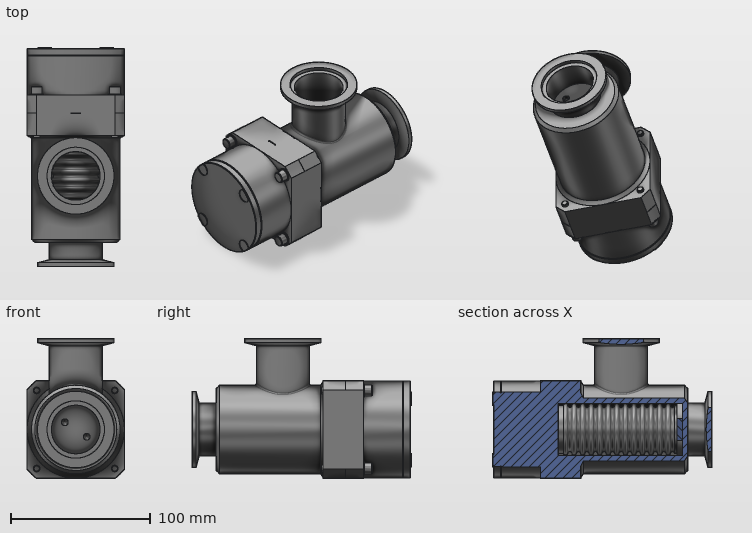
import cadquery as cq
import math


TOTAL_LENGTH = 157.1
PORT_REACH = 65.0

TUBE_DIA = 38.2
BORE_DIA = 34.9
FLANGE_DIA = 54.8
FLANGE_RIM = 2.8
FLANGE_CONE_ANGLE = 15.0
RECESS_DIA = 41.2
RECESS_DEPTH = 2.5

BARREL_DIA = 63.5
BARREL_WALL = 3.0
SEAT_WALL = 4.0
BARREL_FRONT = 17.3
BARREL_CHAMFER = 2.4
COLLAR_DIA = 69.7
COLLAR_HEIGHT = 1.9
WELD_FILLET = 1.3
SELECT_MARGIN = 1.5

PLATE_SIDE = 70.0
PLATE_CORNER = 6.8
PLATE_FRONT = 94.0
JOINT = 110.0
PLATE_REAR = 122.8
PRY_SLOT_WIDTH = 6.6
PRY_SLOT_HEIGHT = 0.6
PRY_SLOT_DEPTH = 2.0

SCREW_OFFSET = 28.0
SCREW_DIA = 4.7
SCREW_TIP = 1.9
SCREW_TIP_CHAMFER = 0.5
HEAD_DIA = 7.9
HEAD_HEIGHT = 5.5
HEAD_CHAMFER = 0.5
WASHER_DIA = 9.6
WASHER_HEIGHT = 0.8

CYLINDER_DIA = 69.7
CAP_HEIGHT = 4.9
CAP_CHAMFER = 0.5
CAP_GROOVE_WIDTH = 0.8
CAP_GROOVE_DEPTH = 0.3
PAD_DIA = 9.6
PAD_OFFSET = 22.1
PAD_HEIGHT = 0.6

DISC_DIA = 47.1
DISC_HEIGHT = 4.0
SPANNER_HOLE_DIA = 4.9
SPANNER_HOLE_DEPTH = 3.0
SPANNER_HOLE_X = 7.9
SPANNER_HOLE_Z = 5.2
DRILL_TIP_ANGLE = 118.0
BELLOWS_ROOT_DIA = 31.7
BELLOWS_CREST_DIA = 37.4
BELLOWS_PITCH = 6.1
BELLOWS_WAVES = 13
BELLOWS_FRONT = 26.7

NECK_DIA = (BELLOWS_ROOT_DIA + BELLOWS_CREST_DIA) / 2
FLANGE_HEIGHT = FLANGE_RIM + (FLANGE_DIA - TUBE_DIA) / 2 * math.tan(math.radians(FLANGE_CONE_ANGLE))
BARREL_END = PLATE_FRONT - COLLAR_HEIGHT
SEAT = BARREL_FRONT + SEAT_WALL
CAP_REAR = TOTAL_LENGTH - PAD_HEIGHT
CAP_FRONT = CAP_REAR - CAP_HEIGHT
SCREW_PLACES = [(sx * SCREW_OFFSET, sz * SCREW_OFFSET) for sx in (-1, 1) for sz in (-1, 1)]
PAD_PLACES = [(sx * PAD_OFFSET, sz * PAD_OFFSET) for sx in (-1, 1) for sz in (-1, 1)]
SPANNER_PLACES = [(-SPANNER_HOLE_X, SPANNER_HOLE_Z), (SPANNER_HOLE_X, -SPANNER_HOLE_Z)]


def revolved(points):
    """Solid turned about the Y axis from a closed (radius, y) outline."""
    return cq.Workplane("XY").polyline(points).close().revolve(360, (0, 0), (0, 1))


def rod(diameter, start, end, x=0.0, z=0.0):
    """Cylinder parallel to Y, from y = start to y = end."""
    base = cq.Workplane(cq.Plane((x, start, z), xDir=(1, 0, 0), normal=(0, 1, 0)))
    return base.circle(diameter / 2).extrude(end - start)


def front_plate():
    """Square plate with flat cut corners."""
    height = JOINT - PLATE_FRONT
    slab = cq.Workplane("XY").box(PLATE_SIDE, height, PLATE_SIDE).edges("|Y").chamfer(PLATE_CORNER)
    return slab.translate((0, PLATE_FRONT + height / 2, 0))


def rear_plate():
    """Square plate whose corners are rounded about the main axis, through the ends of the flat cuts."""
    height = PLATE_REAR - JOINT
    slab = cq.Workplane("XY").box(PLATE_SIDE, height, PLATE_SIDE).translate((0, JOINT + height / 2, 0))
    corner_radius = math.hypot(PLATE_SIDE / 2, PLATE_SIDE / 2 - PLATE_CORNER)
    return slab.intersect(rod(2 * corner_radius, JOINT, PLATE_REAR))


def port(length):
    """Solid port with its flange face at y = 0 and its tube running to y = length."""
    return revolved([
        (0, 0),
        (FLANGE_DIA / 2, 0),
        (FLANGE_DIA / 2, FLANGE_RIM),
        (TUBE_DIA / 2, FLANGE_HEIGHT),
        (TUBE_DIA / 2, length),
        (0, length),
    ])


def port_bore(length):
    """Bore and centring recess of a port."""
    return rod(BORE_DIA, 0, length).union(rod(RECESS_DIA, 0, RECESS_DEPTH))


def to_side_port(shape):
    """Move a port from the inlet to the side outlet, which faces +Z."""
    return shape.rotate((0, 0, 0), (1, 0, 0), -90).translate((0, PORT_REACH, PORT_REACH))


def make_barrel():
    barrel = revolved([
        (0, BARREL_FRONT),
        (BARREL_DIA / 2 - BARREL_CHAMFER, BARREL_FRONT),
        (BARREL_DIA / 2, BARREL_FRONT + BARREL_CHAMFER),
        (BARREL_DIA / 2, BARREL_END),
        (COLLAR_DIA / 2, PLATE_FRONT),
        (0, PLATE_FRONT),
    ])
    barrel = barrel.union(to_side_port(port(PORT_REACH)))
    half_box = TUBE_DIA / 2 + SELECT_MARGIN
    weld_box = cq.selectors.BoxSelector(
        (-half_box, PORT_REACH - half_box, 0),
        (half_box, PORT_REACH + half_box, BARREL_DIA / 2 + SELECT_MARGIN),
        boundingbox=True,
    )
    return barrel.edges(weld_box).fillet(WELD_FILLET)


def make_bellows():
    """Bellows whose crests and roots are equal arcs, joined halfway up each flank."""
    root = BELLOWS_ROOT_DIA / 2
    crest = BELLOWS_CREST_DIA / 2
    middle = (root + crest) / 2
    half_arc = BELLOWS_PITCH / 4
    outline = cq.Workplane("XY").moveTo(0, BELLOWS_FRONT).lineTo(middle, BELLOWS_FRONT)
    for wave in range(BELLOWS_WAVES):
        start = BELLOWS_FRONT + wave * BELLOWS_PITCH
        outline = outline.threePointArc((root, start + half_arc), (middle, start + 2 * half_arc))
        outline = outline.threePointArc((crest, start + 3 * half_arc), (middle, start + 4 * half_arc))
    outline = outline.lineTo(middle, JOINT).lineTo(0, JOINT).close()
    return outline.revolve(360, (0, 0), (0, 1))


def spanner_hole(x, z):
    """Blind drilled hole in the front of the valve disc."""
    radius = SPANNER_HOLE_DIA / 2
    tip = radius / math.tan(math.radians(DRILL_TIP_ANGLE / 2))
    hole = revolved([(0, 0), (radius, 0), (radius, SPANNER_HOLE_DEPTH), (0, SPANNER_HOLE_DEPTH + tip)])
    return hole.translate((x, SEAT, z))


def make_valve_disc():
    disc = rod(DISC_DIA, SEAT, SEAT + DISC_HEIGHT)
    disc = disc.union(rod(NECK_DIA, SEAT + DISC_HEIGHT, BELLOWS_FRONT))
    for x, z in SPANNER_PLACES:
        disc = disc.cut(spanner_hole(x, z))
    return disc


def make_screw(x, z):
    """Screw with its washer, standing out of both plates."""
    shank = rod(SCREW_DIA, PLATE_FRONT - SCREW_TIP, PLATE_REAR, x, z)
    shank = shank.faces("<Y").chamfer(SCREW_TIP_CHAMFER)
    washer = rod(WASHER_DIA, PLATE_REAR, PLATE_REAR + WASHER_HEIGHT, x, z)
    head = rod(HEAD_DIA, PLATE_REAR, PLATE_REAR + WASHER_HEIGHT + HEAD_HEIGHT, x, z)
    head = head.faces(">Y").chamfer(HEAD_CHAMFER)
    return shank.union(washer).union(head)


def make_cylinder():
    radius = CYLINDER_DIA / 2
    groove_radius = radius - CAP_GROOVE_DEPTH
    cylinder = revolved([
        (0, PLATE_REAR),
        (radius, PLATE_REAR),
        (radius, CAP_FRONT - CAP_GROOVE_WIDTH),
        (groove_radius, CAP_FRONT - CAP_GROOVE_WIDTH),
        (groove_radius, CAP_FRONT),
        (radius, CAP_FRONT),
        (radius, CAP_REAR - CAP_CHAMFER),
        (radius - CAP_CHAMFER, CAP_REAR),
        (0, CAP_REAR),
    ])
    cap_face = rod(CYLINDER_DIA - 2 * CAP_CHAMFER, CAP_REAR, TOTAL_LENGTH)
    for x, z in PAD_PLACES:
        pad = rod(PAD_DIA, CAP_REAR, TOTAL_LENGTH, x, z)
        cylinder = cylinder.union(pad.intersect(cap_face))
    return cylinder


def make_pry_slot():
    """Cutter for the small slot on top of the plates, along their joint."""
    slot = cq.Workplane("XY").box(PRY_SLOT_WIDTH, PRY_SLOT_HEIGHT, PRY_SLOT_DEPTH)
    return slot.translate((0, JOINT, (PLATE_SIDE - PRY_SLOT_DEPTH) / 2))


def make_valve_body():
    """Barrel, ports, bolted plates and actuator cylinder, hollow in front of the joint."""
    body = make_barrel().union(port(BARREL_FRONT))
    body = body.union(front_plate()).union(rear_plate()).union(make_cylinder())
    for x, z in SCREW_PLACES:
        body = body.union(make_screw(x, z))
    cavity = rod(BARREL_DIA - 2 * BARREL_WALL, SEAT, JOINT)
    bores = port_bore(SEAT).union(to_side_port(port_bore(PORT_REACH)))
    return body.cut(cavity).cut(bores).cut(make_pry_slot())


def make_plunger():
    """Valve disc with the bellows that joins it to the end of the cavity."""
    return make_valve_disc().union(make_bellows())


valve_body = make_valve_body()
plunger = make_plunger()

result = cq.Compound.makeCompound([valve_body.val(), plunger.val()])